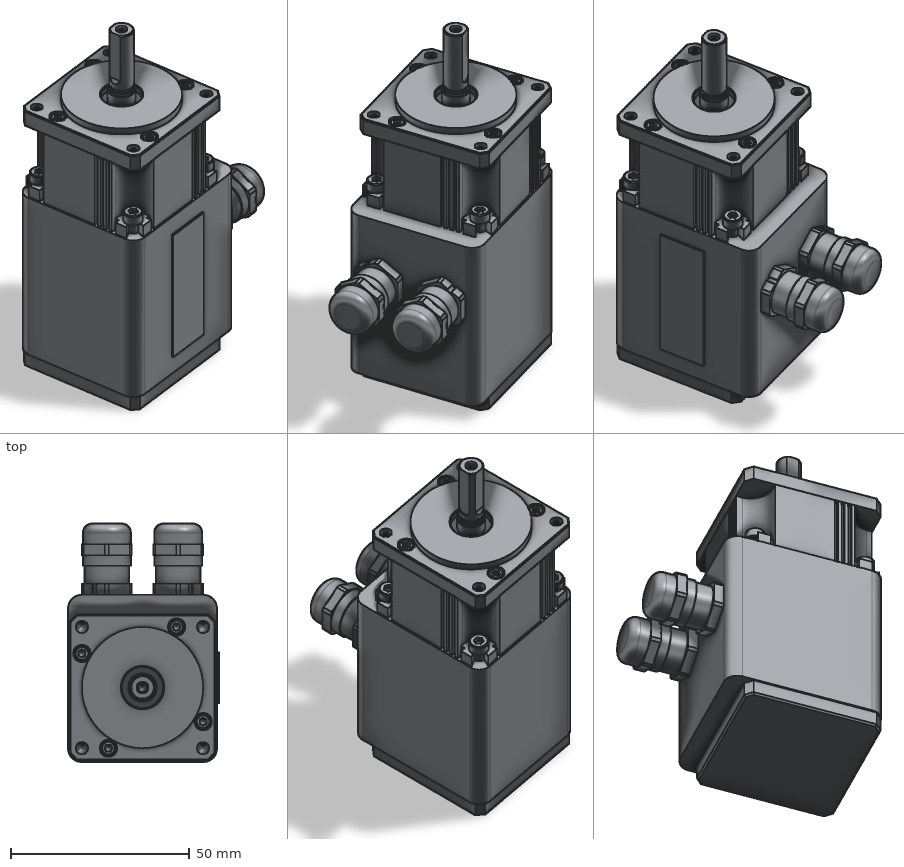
import cadquery as cq
import math


CAP_TOP = 5.0
BOX_TOP = 58.3
PAD_TOP = 62.0
FLANGE_BOTTOM = 82.0
FLANGE_TOP = 87.0
PILOT_TOP = 89.1
COLLAR_TOP = 90.7
RING_TOP = 91.5
SHAFT_BODY_BOTTOM = 92.3
FLAT_BOTTOM = 94.4
SHAFT_TOP = 111.2

BOX_WIDTH = 41.9
BOX_FRONT = -BOX_WIDTH / 2
BOX_DEPTH = 47.0
BOX_BACK = BOX_FRONT + BOX_DEPTH
BOX_CORNER_RADIUS = 4.0

FLANGE_WIDTH = 41.0
FLANGE_CORNER_CHAMFER = 2.0
FLANGE_EDGE_CHAMFER = 0.3
CAP_EDGE_CHAMFER = 0.6
PILOT_RADIUS = 17.0
RECESS_RADIUS = 5.8
RECESS_DEPTH = 2.0
RECESS_CHAMFER = 0.3

BODY_WIDTH = 40.8
POCKET_INNER = 12.0
POCKET_RADIUS = 6.7
GROOVE_COUNT = 3
GROOVE_WIDTH = 1.0
GROOVE_DEPTH = 1.0
GROOVE_PITCH = 2 * GROOVE_WIDTH

PAD_INNER = 13.3
PAD_SHOULDER = 18.9
PAD_SLOT_MOUTH = 4.7
PAD_SLOT_THROAT = 2.2
PAD_SLOT_LENGTH = 3.3
PAD_SCREW_OFFSET = 16.5
PAD_SCREW_SHANK_RADIUS = 1.5
PAD_SCREW_HEAD_RADIUS = 2.8
PAD_SCREW_HEAD_HEIGHT = 3.0
PAD_SCREW_SOCKET = 2.5

FLANGE_HOLE_OFFSET = 17.0
FLANGE_HOLE_DIAMETER = 3.5
FLANGE_HOLE_RADIUS = FLANGE_HOLE_DIAMETER / 2
FLANGE_HOLE_DEPTH = 3.3
FLANGE_SCREW_SIDE_OFFSET = 9.6
COUNTERBORE_RADIUS = 2.5
COUNTERBORE_DEPTH = 2.5
FLANGE_SCREW_HEAD_RADIUS = 2.1
FLANGE_SCREW_HEAD_HEIGHT = 2.2
FLANGE_SCREW_SOCKET = 2.0

SCREW_EDGE_CHAMFER = 0.3
SOCKET_DEPTH = 1.3

DRILL_POINT_SLOPE = 0.6

SHAFT_DIAMETER = 7.0
SHAFT_RADIUS = SHAFT_DIAMETER / 2
SHAFT_CHAMFER = 0.3
COLLAR_RADIUS = 4.0
RING_RADIUS = 3.7
SHAFT_NECK_RADIUS = 3.1
FLAT_DISTANCE = 3.0
FLAT_RAMP_LENGTH = 1.5
CENTRE_HOLE_RADIUS = 1.2
CENTRE_HOLE_CHAMFER = 0.5
CENTRE_HOLE_DEPTH = 6.7

GLAND_OFFSET = 10
GLAND_HEIGHT = 38.1
GLAND_NUT_FLATS = 14.0
GLAND_NUT_CORNERS = 15.6
GLAND_NUT_LENGTH = 3.0
GLAND_NECK_RADIUS = 6.3
GLAND_NECK_LENGTH = 5.1
GLAND_CAP_RADIUS = 6.8
GLAND_COLLAR_LENGTH = 3.0
GLAND_CAP_LENGTH = 5.9
GLAND_DOME_RADIUS = 2.7
NUT_NOTCH_WIDTH = 1.3
NUT_NOTCH_DEPTH = 0.6
NUT_NOTCH_ANGLE = 60

PLATE_THICKNESS = 0.6
PLATE_FRONT = -4.5
PLATE_BACK = 9.9
PLATE_BOTTOM = 10.9
PLATE_TOP = 52.3

QUARTER_TURNS = (0, 90, 180, 270)


def cylinder(radius, bottom, top, x=0, y=0):
    return cq.Workplane("XY", origin=(x, y, bottom)).circle(radius).extrude(top - bottom)


def drilled_hole(radius, depth, top, x=0, y=0):
    """Cutter for a blind hole from the level top down, with a conical drill point."""
    tip = depth + DRILL_POINT_SLOPE * radius
    profile = (
        cq.Workplane("XZ", origin=(x, y, top))
        .lineTo(radius, 0)
        .lineTo(radius, -depth)
        .lineTo(0, -tip)
        .close()
    )
    return profile.revolve(360, (0, 0), (0, 1))


def hole_chamfer(radius, size, top):
    """Cone that bevels the rim of a round hole on the Z axis at the level top."""
    return cq.Workplane(cq.Solid.makeCone(radius, radius + size, size, pnt=cq.Vector(0, 0, top - size)))


def block(x_range, y_range, z_range):
    size = [high - low for low, high in (x_range, y_range, z_range)]
    corner = (x_range[0], y_range[0], z_range[0])
    return cq.Workplane("XY", origin=corner).box(*size, centered=False)


def turned(shape, angle):
    return shape.rotate((0, 0, 0), (0, 0, 1), angle)


def square_plate(bottom, top):
    plate = cq.Workplane("XY", origin=(0, 0, bottom)).rect(FLANGE_WIDTH, FLANGE_WIDTH).extrude(top - bottom)
    return plate.edges("|Z").chamfer(FLANGE_CORNER_CHAMFER)


def socket_head(radius, height, socket, bottom, x, y):
    head = cylinder(radius, bottom, bottom + height, x, y).faces(">Z").chamfer(SCREW_EDGE_CHAMFER)
    hexagon = socket / math.cos(math.pi / 6)
    top = bottom + height
    recess = cq.Workplane("XY", origin=(x, y, top)).polygon(6, hexagon).extrude(-SOCKET_DEPTH)
    return head.cut(recess).cut(drilled_hole(socket / 2, SOCKET_DEPTH, top, x, y))


def make_box():
    box = block((-BOX_WIDTH / 2, BOX_WIDTH / 2), (BOX_FRONT, BOX_BACK), (CAP_TOP, BOX_TOP))
    box = box.edges("|Z").fillet(BOX_CORNER_RADIUS)
    plate = block(
        (0, BOX_WIDTH / 2 + PLATE_THICKNESS),
        (PLATE_FRONT, PLATE_BACK),
        (PLATE_BOTTOM, PLATE_TOP),
    )
    cap = square_plate(0, CAP_TOP).faces("<Z").chamfer(CAP_EDGE_CHAMFER)
    return box.union(plate).union(cap)


def make_gearbox_body():
    half = BODY_WIDTH / 2
    levels = (BOX_TOP, FLANGE_BOTTOM)
    body = block((-half, half), (-half, half), levels)
    pocket = block((POCKET_INNER, half), (POCKET_INNER, half), levels)
    pocket = pocket.edges("|Z and <X and <Y").fillet(POCKET_RADIUS)
    for angle in QUARTER_TURNS:
        body = body.cut(turned(pocket, angle))
        for index in range(GROOVE_COUNT):
            right = POCKET_INNER - GROOVE_WIDTH - index * GROOVE_PITCH
            groove = block((right - GROOVE_WIDTH, right), (-half, GROOVE_DEPTH - half), levels)
            body = body.cut(turned(groove, angle))
    return body


def make_screw_pad():
    """Pad in the +X +Y corner, with its screw and a flared slot open to the corner."""
    half = FLANGE_WIDTH / 2
    levels = (BOX_TOP, PAD_TOP)
    shoulder = (POCKET_INNER, PAD_SHOULDER)
    pad = block((PAD_INNER, half), (PAD_INNER, half), levels).union(block(shoulder, shoulder, levels))
    corner = half * math.sqrt(2)
    mouth = corner - PAD_SLOT_MOUTH / 2
    throat = mouth - PAD_SLOT_LENGTH
    slot = (
        cq.Workplane("XY", origin=(0, 0, BOX_TOP))
        .moveTo(throat, -PAD_SLOT_THROAT / 2)
        .lineTo(mouth, -PAD_SLOT_MOUTH / 2)
        .lineTo(corner, -PAD_SLOT_MOUTH / 2)
        .lineTo(corner, PAD_SLOT_MOUTH / 2)
        .lineTo(mouth, PAD_SLOT_MOUTH / 2)
        .lineTo(throat, PAD_SLOT_THROAT / 2)
        .close()
        .extrude(PAD_TOP - BOX_TOP)
    )
    place = (PAD_SCREW_OFFSET, PAD_SCREW_OFFSET)
    shank = cylinder(PAD_SCREW_SHANK_RADIUS, *levels, *place)
    head = socket_head(
        PAD_SCREW_HEAD_RADIUS, PAD_SCREW_HEAD_HEIGHT, PAD_SCREW_SOCKET, PAD_TOP, *place
    )
    return pad.cut(turned(slot, 45)).union(shank).union(head)


def make_flange():
    flange = square_plate(FLANGE_BOTTOM, FLANGE_TOP).faces(">Z").chamfer(FLANGE_EDGE_CHAMFER)
    hole = drilled_hole(
        FLANGE_HOLE_RADIUS, FLANGE_HOLE_DEPTH, FLANGE_TOP, FLANGE_HOLE_OFFSET, FLANGE_HOLE_OFFSET
    )
    flange = flange.union(cylinder(PILOT_RADIUS, FLANGE_BOTTOM, PILOT_TOP))
    place = (FLANGE_SCREW_SIDE_OFFSET, FLANGE_HOLE_OFFSET)
    seat = FLANGE_TOP - COUNTERBORE_DEPTH
    counterbore = cylinder(COUNTERBORE_RADIUS, seat, FLANGE_TOP, *place)
    counterbore = counterbore.cut(cylinder(PILOT_RADIUS, seat, FLANGE_TOP))
    head = socket_head(
        FLANGE_SCREW_HEAD_RADIUS, FLANGE_SCREW_HEAD_HEIGHT, FLANGE_SCREW_SOCKET, seat, *place
    )
    for angle in QUARTER_TURNS:
        flange = flange.cut(turned(hole, angle)).cut(turned(counterbore, angle)).union(turned(head, angle))
    recess = cylinder(RECESS_RADIUS, PILOT_TOP - RECESS_DEPTH, PILOT_TOP)
    return flange.cut(recess).cut(hole_chamfer(RECESS_RADIUS, RECESS_CHAMFER, PILOT_TOP))


def make_shaft():
    shaft = cylinder(COLLAR_RADIUS, FLANGE_BOTTOM, COLLAR_TOP)
    shaft = shaft.union(cylinder(RING_RADIUS, COLLAR_TOP, RING_TOP))
    shaft = shaft.union(cylinder(SHAFT_NECK_RADIUS, RING_TOP, SHAFT_BODY_BOTTOM))
    rod = cylinder(SHAFT_RADIUS, SHAFT_BODY_BOTTOM, SHAFT_TOP).faces(">Z or <Z").chamfer(SHAFT_CHAMFER)
    shaft = shaft.union(rod)
    half_width = math.sqrt(SHAFT_RADIUS**2 - FLAT_DISTANCE**2)
    round_ended_flat = (
        cq.Workplane("YZ", origin=(-FLAT_DISTANCE, 0, 0))
        .moveTo(-half_width, SHAFT_TOP)
        .lineTo(-half_width, FLAT_BOTTOM + half_width)
        .threePointArc((0, FLAT_BOTTOM), (half_width, FLAT_BOTTOM + half_width))
        .lineTo(half_width, SHAFT_TOP)
        .close()
        .extrude(-SHAFT_RADIUS)
    )
    ramped_flat = (
        cq.Workplane("YZ")
        .moveTo(-SHAFT_RADIUS, FLAT_BOTTOM)
        .lineTo(-FLAT_DISTANCE, FLAT_BOTTOM + FLAT_RAMP_LENGTH)
        .lineTo(-FLAT_DISTANCE, SHAFT_TOP)
        .lineTo(-SHAFT_RADIUS, SHAFT_TOP)
        .close()
        .extrude(SHAFT_RADIUS, both=True)
    )
    shaft = shaft.cut(round_ended_flat).cut(ramped_flat)
    hole = drilled_hole(CENTRE_HOLE_RADIUS, CENTRE_HOLE_DEPTH, SHAFT_TOP)
    return shaft.cut(hole).cut(hole_chamfer(CENTRE_HOLE_RADIUS, CENTRE_HOLE_CHAMFER, SHAFT_TOP))


def make_gland(side):
    """Cable gland on the back of the box; side is -1 for the -X gland and 1 for the +X gland."""
    centre_x = side * GLAND_OFFSET

    def section(start):
        return cq.Workplane("XZ", origin=(centre_x, BOX_BACK + start, GLAND_HEIGHT))

    def nut(start):
        corners = GLAND_NUT_FLATS / math.cos(math.pi / 6)
        hexagon = section(start).transformed(rotate=(0, 0, 30)).polygon(6, corners)
        hexagon = hexagon.extrude(-GLAND_NUT_LENGTH)
        return hexagon.intersect(section(start).circle(GLAND_NUT_CORNERS / 2).extrude(-GLAND_NUT_LENGTH))

    neck_start = GLAND_NUT_LENGTH
    collar_start = neck_start + GLAND_NECK_LENGTH
    outer_nut_start = collar_start + GLAND_COLLAR_LENGTH
    cap_start = outer_nut_start + GLAND_NUT_LENGTH

    notch = (
        section(0)
        .transformed(rotate=(0, 0, 90 - side * (90 - NUT_NOTCH_ANGLE)))
        .center(GLAND_NUT_FLATS / 2, 0)
        .rect(2 * NUT_NOTCH_DEPTH, NUT_NOTCH_WIDTH)
        .extrude(-GLAND_NUT_LENGTH)
    )
    neck = section(neck_start).circle(GLAND_NECK_RADIUS).extrude(-GLAND_NECK_LENGTH)
    collar = section(collar_start).circle(GLAND_CAP_RADIUS).extrude(-GLAND_COLLAR_LENGTH)
    cap = section(cap_start).circle(GLAND_CAP_RADIUS).extrude(-GLAND_CAP_LENGTH)
    cap = cap.faces(">Y").edges().fillet(GLAND_DOME_RADIUS)
    gland = nut(0).cut(notch).union(neck).union(collar)
    return gland.union(nut(outer_nut_start)).union(cap)


result = make_box().union(make_gearbox_body()).union(make_flange()).union(make_shaft())
screw_pad = make_screw_pad()
for quarter_turn in QUARTER_TURNS:
    result = result.union(turned(screw_pad, quarter_turn))
for gland_side in (-1, 1):
    result = result.union(make_gland(gland_side))